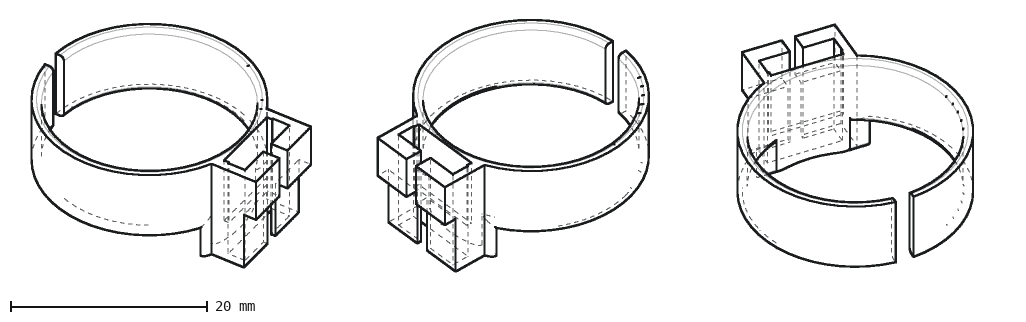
import cadquery as cq
import math

outer_diameter = 24.0
outer_radius = outer_diameter / 2
wall = 1.0
inner_radius = outer_radius - wall
ring_height = 8.0
gap_width = 2.0
edge_radius = 0.5

overall_length = 28.15
holder_end = overall_length - math.sqrt(outer_radius**2 - (gap_width / 2) ** 2)
holder_width = 10.42
total_height = 12.0
holder_bottom = ring_height - total_height
skirt_start = 10.2
lower_end = 14.72
head_height = 5.0

slot_start = 12.2
slot_end = 14.22
slot_width = 8.4
mouth_width = 1.45
recess_start = 11.6
recess_width = 8.1
recess_floor = 0


def block(x_start, x_end, width, z_bottom, z_top):
    """Box between two X and two Z positions, centred on Y."""
    return (
        cq.Workplane("XY", origin=(0, 0, z_bottom))
        .center((x_start + x_end) / 2, 0)
        .rect(x_end - x_start, width)
        .extrude(z_top - z_bottom)
    )


def cylinder(radius, z_bottom, z_top):
    return cq.Workplane("XY", origin=(0, 0, z_bottom)).circle(radius).extrude(z_top - z_bottom)


def split_ring():
    """Ring with rounded inner edges and a gap on the -X side."""
    ring = cylinder(outer_radius, 0, ring_height).cut(cylinder(inner_radius, 0, ring_height))
    ring = ring.edges(cq.selectors.RadiusNthSelector(0)).fillet(edge_radius)
    return ring.cut(block(-outer_diameter, 0, gap_width, 0, ring_height))


def skirt():
    """Segment of the ring wall continued below it, rounded along its lower -X edge."""
    segment = block(skirt_start, outer_radius, outer_diameter, holder_bottom, edge_radius)
    segment = segment.edges("<X and <Z").fillet(edge_radius)
    segment = segment.intersect(cylinder(outer_radius, holder_bottom, edge_radius))
    return segment.cut(cylinder(inner_radius, holder_bottom, edge_radius))


def holder():
    """Stepped block that meets the outside of the ring."""
    lower = block(skirt_start, lower_end, holder_width, holder_bottom, ring_height)
    head = block(skirt_start, holder_end, holder_width, ring_height - head_height, ring_height)
    return lower.union(head).cut(cylinder(outer_radius, holder_bottom, ring_height))


slot = block(slot_start, slot_end, slot_width, holder_bottom, ring_height)
mouth = block(slot_end, holder_end, mouth_width, holder_bottom, ring_height)
recess = block(recess_start, slot_start, recess_width, recess_floor, ring_height)

result = split_ring().union(skirt()).union(holder()).cut(slot).cut(mouth).cut(recess)